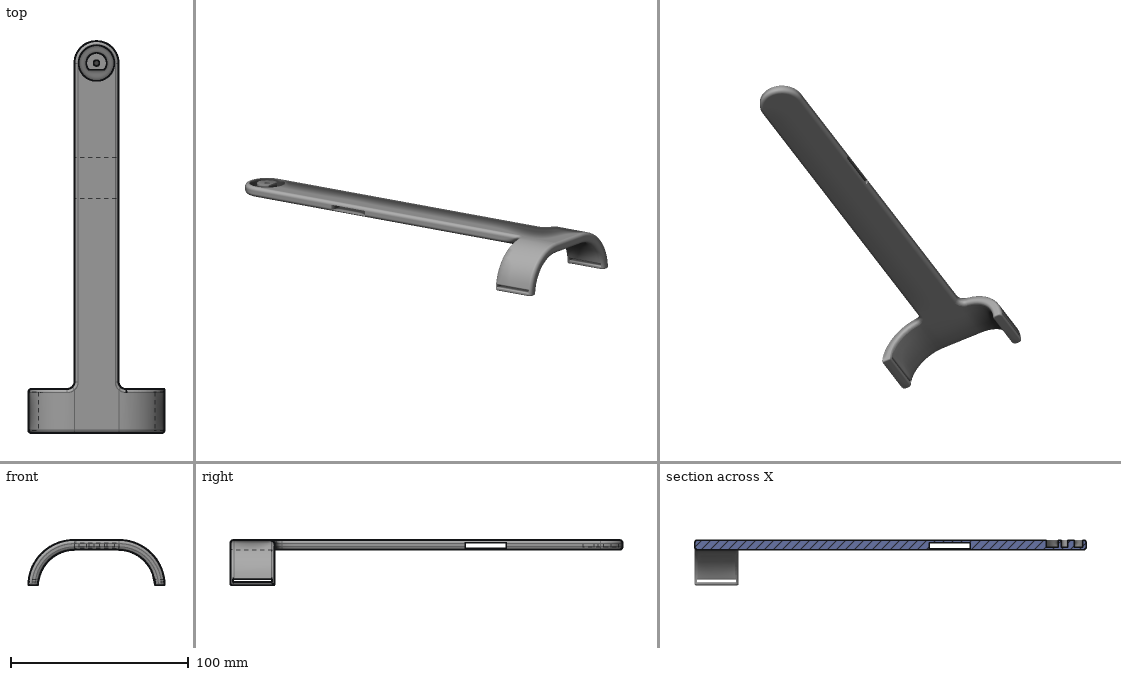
import cadquery as cq
import math

LENGTH = 220.5
HEIGHT = 25.5
STRIP_WIDTH = 25.0
THICKNESS = 5.7
OUTER_RADIUS = 26.0
INNER_RADIUS = OUTER_RADIUS - THICKNESS
CORNER_RADIUS = 4.0
EDGE_RADIUS = 2.0

SOCKET_DIAMETER = 20.0
SOCKET_DEPTH = 4.0
BOSS_DIAMETER = 11.5
BOSS_FLAT_OFFSET = 3.7
PIN_HOLE_DIAMETER = 3.3

HANDLE_SLOT_START = 132.0
HANDLE_SLOT_LENGTH = 23.0
HANDLE_SLOT_HEIGHT = 3.0
HANDLE_SLOT_FLOOR = 0.9
LEG_SLOT_LENGTH = 21.8
LEG_SLOT_HEIGHT = 1.3
LEG_SLOT_BOTTOM = 2.0
TIP_RADIUS = 0.9
SLOT_MOUTH_RADIUS = 0.7

half_strip = STRIP_WIDTH / 2
half_width = half_strip + OUTER_RADIUS
underside = HEIGHT - THICKNESS
arc_center_z = HEIGHT - OUTER_RADIUS
tip_center_y = LENGTH - half_strip


def arch_profile():
    """Arch section in XZ swept along the full length; the leg tips are cut level."""
    outer_reach = math.sqrt(OUTER_RADIUS**2 - arc_center_z**2)
    inner_reach = math.sqrt(INNER_RADIUS**2 - arc_center_z**2)
    outer_x = half_strip + outer_reach
    inner_x = half_strip + inner_reach
    return (
        cq.Workplane("XZ")
        .moveTo(-half_strip, HEIGHT)
        .lineTo(half_strip, HEIGHT)
        .radiusArc((outer_x, 0), OUTER_RADIUS)
        .lineTo(inner_x, 0)
        .radiusArc((half_strip, underside), -INNER_RADIUS)
        .lineTo(-half_strip, underside)
        .radiusArc((-inner_x, 0), -INNER_RADIUS)
        .lineTo(-outer_x, 0)
        .radiusArc((-half_strip, HEIGHT), OUTER_RADIUS)
        .close()
        .extrude(-LENGTH)
    )


def plan_outline():
    """T-shaped plan with a round handle tip and rounded inside corners."""
    corner_x = half_strip + CORNER_RADIUS
    corner_y = STRIP_WIDTH + CORNER_RADIUS
    return (
        cq.Workplane("XY")
        .moveTo(-half_width, 0)
        .lineTo(half_width, 0)
        .lineTo(half_width, STRIP_WIDTH)
        .lineTo(corner_x, STRIP_WIDTH)
        .radiusArc((half_strip, corner_y), CORNER_RADIUS)
        .lineTo(half_strip, tip_center_y)
        .threePointArc((0, LENGTH), (-half_strip, tip_center_y))
        .lineTo(-half_strip, corner_y)
        .radiusArc((-corner_x, STRIP_WIDTH), CORNER_RADIUS)
        .lineTo(-half_width, STRIP_WIDTH)
        .close()
        .extrude(HEIGHT)
    )


def socket_cutter():
    """Ring-shaped pocket around the D-shaped boss, plus the blind pin hole."""
    plane = cq.Workplane("XY", origin=(0, tip_center_y, HEIGHT - SOCKET_DEPTH))
    below_flat = (
        plane.center(0, -BOSS_FLAT_OFFSET - BOSS_DIAMETER / 2)
        .rect(BOSS_DIAMETER, BOSS_DIAMETER)
        .extrude(SOCKET_DEPTH)
    )
    boss = plane.circle(BOSS_DIAMETER / 2).extrude(SOCKET_DEPTH).cut(below_flat)
    pin_hole = plane.circle(PIN_HOLE_DIAMETER / 2).extrude(SOCKET_DEPTH)
    return plane.circle(SOCKET_DIAMETER / 2).extrude(SOCKET_DEPTH).cut(boss).union(pin_hole)


def cross_slot(start_y, length, bottom_z, height):
    """Rectangular slot through the whole width."""
    return (
        cq.Workplane("XY")
        .box(2 * half_width, length, height, centered=(True, False, False))
        .translate((0, start_y, bottom_z))
    )


body = arch_profile().intersect(plan_outline())

front_rims = body.faces("<Y").edges("|X").edges("not <Z").vals()
tip_rims = body.faces(">Y").edges("%CIRCLE").vals()
body = body.newObject(front_rims + tip_rims).fillet(EDGE_RADIUS)

handle_slot = cross_slot(
    HANDLE_SLOT_START, HANDLE_SLOT_LENGTH, underside + HANDLE_SLOT_FLOOR, HANDLE_SLOT_HEIGHT
)
leg_slot = cross_slot(
    (STRIP_WIDTH - LEG_SLOT_LENGTH) / 2, LEG_SLOT_LENGTH, LEG_SLOT_BOTTOM, LEG_SLOT_HEIGHT
)

body = body.cut(leg_slot)
mouths = cq.selectors.BoxSelector(
    (-LENGTH, -LENGTH, LEG_SLOT_BOTTOM / 2),
    (LENGTH, LENGTH, LEG_SLOT_BOTTOM + 2 * LEG_SLOT_HEIGHT),
)
body = body.edges("|Y").edges(mouths).fillet(SLOT_MOUTH_RADIUS)
body = body.faces("<Z").edges().fillet(TIP_RADIUS)

result = body.cut(socket_cutter()).cut(handle_slot)